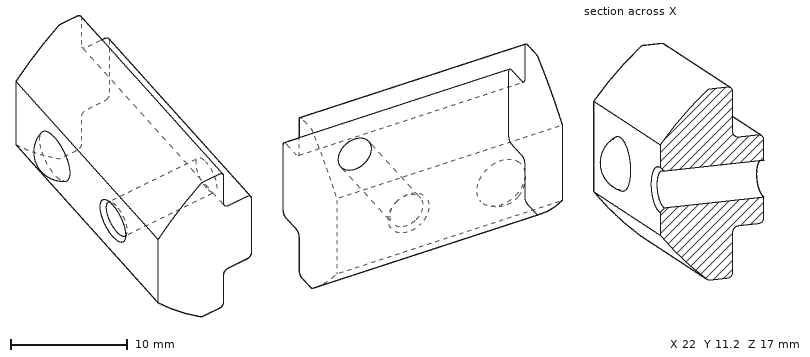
import cadquery as cq
import math

length = 22.0
total_height = 17.0
body_depth = 9.6
flange_back = 6.73
neck_height = 7.92
front_height = 8.03
shoulder_depth = 4.47
flank_bulge = 0.18
edge_radius = 0.5
shoulder_radius = 0.4

hole_x = 15.0
hole_diameter = 3.23
hole_mouth_diameter = 4.0

ball_x = 6.0
ball_radius = 2.5
ball_protrusion = 1.65


def flank_midpoint(side):
    """Middle of the convex flank on the +Z (side = 1) or -Z (side = -1) half."""
    rise = (total_height - front_height) / 2
    chord = math.hypot(shoulder_depth, rise)
    y = shoulder_depth / 2 - flank_bulge * rise / chord
    z = (total_height + front_height) / 4 + flank_bulge * shoulder_depth / chord
    return (y, side * z)


def make_body():
    half_total = total_height / 2
    half_neck = neck_height / 2
    half_front = front_height / 2
    profile = (
        cq.Workplane("YZ")
        .moveTo(0, -half_front)
        .lineTo(0, half_front)
        .threePointArc(flank_midpoint(1), (shoulder_depth, half_total))
        .lineTo(flange_back, half_total)
        .lineTo(flange_back, half_neck)
        .lineTo(body_depth, half_neck)
        .lineTo(body_depth, -half_neck)
        .lineTo(flange_back, -half_neck)
        .lineTo(flange_back, -half_total)
        .lineTo(shoulder_depth, -half_total)
        .threePointArc(flank_midpoint(-1), (0, -half_front))
        .close()
    )
    body = profile.extrude(length)
    near_shoulder = cq.selectors.BoxSelector(
        (0, shoulder_depth - edge_radius, -total_height),
        (length, shoulder_depth + edge_radius, total_height),
    )
    body = body.edges(near_shoulder).edges("|X").fillet(shoulder_radius)
    behind_shoulder = cq.selectors.BoxSelector(
        (0, flange_back - edge_radius, -total_height),
        (length, body_depth + edge_radius, total_height),
    )
    return body.edges(behind_shoulder).edges("|X").fillet(edge_radius)


def make_hole():
    """Through hole with a 45 degree countersink at the front face."""
    hole_radius = hole_diameter / 2
    mouth_radius = hole_mouth_diameter / 2
    countersink_depth = mouth_radius - hole_radius
    return (
        cq.Workplane("XY")
        .polyline([
            (hole_x, 0),
            (hole_x + mouth_radius, 0),
            (hole_x + hole_radius, countersink_depth),
            (hole_x + hole_radius, body_depth),
            (hole_x, body_depth),
        ])
        .close()
        .revolve(360, (hole_x, 0), (hole_x, 1))
    )


def make_ball():
    center_y = ball_radius - ball_protrusion
    return cq.Workplane("XY").sphere(ball_radius).translate((ball_x, center_y, 0))


result = make_body().cut(make_hole()).union(make_ball())